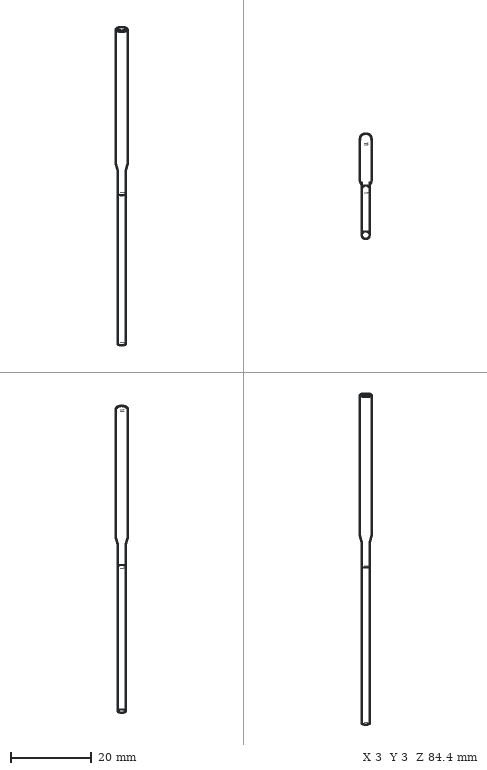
import cadquery as cq
import math

shank_diameter = 3.0
drill_diameter = 2.0
point_angle = 135.0
taper_half_angle = 15.0
shank_length = 36.0
holder_length = 44.0
cutting_length = 40.0
shank_chamfer = 0.3

shank_radius = shank_diameter / 2
drill_radius = drill_diameter / 2
point_height = drill_radius / math.tan(math.radians(point_angle / 2))
taper_length = (shank_radius - drill_radius) / math.tan(math.radians(taper_half_angle))

cutting_top = point_height + cutting_length
shank_top = cutting_top + holder_length
shank_bottom = shank_top - shank_length
taper_bottom = shank_bottom - taper_length


def revolve_profile(points):
    """Turn a closed (radius, Z) profile about the Z axis."""
    return cq.Workplane("YZ").polyline(points).close().revolve(360, (0, 0, 0), (0, 1, 0))


def make_cutting_part():
    """Cylinder with a conical point."""
    return revolve_profile([
        (0, 0),
        (drill_radius, point_height),
        (drill_radius, cutting_top),
        (0, cutting_top),
    ])


def make_shank():
    """Chamfered shank with a taper down to the neck."""
    return revolve_profile([
        (0, cutting_top),
        (drill_radius, cutting_top),
        (drill_radius, taper_bottom),
        (shank_radius, shank_bottom),
        (shank_radius, shank_top - shank_chamfer),
        (shank_radius - shank_chamfer, shank_top),
        (0, shank_top),
    ])


cutting_part = make_cutting_part()
shank = make_shank()

result = cq.Compound.makeCompound([cutting_part.val(), shank.val()])